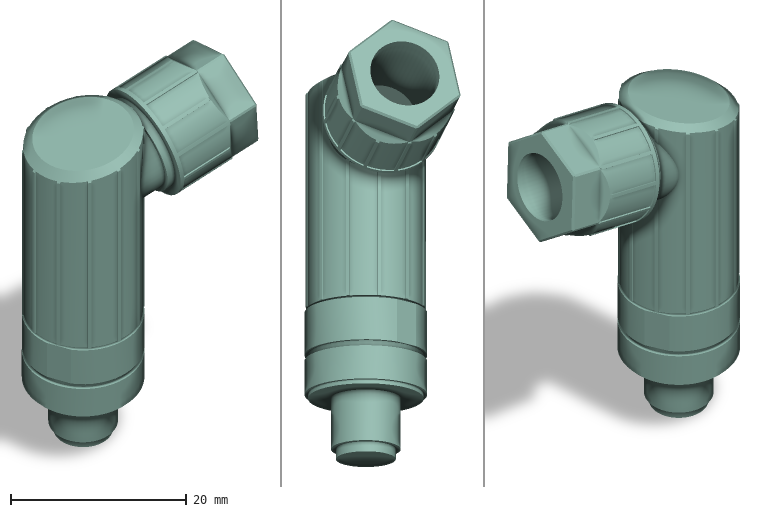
import cadquery as cq
import math

outer_radius = 7.01
flute_radius = 6.85
rib_width = 0.4
rib_count = 12
tilt = 10.0

tip_radius = 3.42
tip_top = 1.15
stem_radius = 4.0
stem_top = 7.18
groove_radius = 6.6
lower_ring_bottom = 7.65
lower_ring_top = 11.6
upper_ring_bottom = 12.3
upper_ring_top = 17.3
gap_radius = 6.43
flat_distance = 6.85
flat_angle = 30.0

grip_bottom = 17.6
cap_height = 43.6
cap_radius = 5.85
cap_chamfer_angle = 35.0

outlet_height = 36.68
neck_radius = 5.35
flange_start = 7.65
flange_radius = 5.9
nut_start = 8.68
collar_length = 0.5
nut_end = 20.65
hex_length = 3.9
hex_across_flats = 12.0
hex_twist = 10.0
hex_chamfer = 0.25
hex_flare_angle = 45.0
bore_radius = 4.05

hex_start = nut_end - hex_length
tilt_sin = math.sin(math.radians(tilt))
tilt_cos = math.cos(math.radians(tilt))


def cylinder(radius, bottom, top):
    return cq.Workplane("XY").workplane(offset=bottom).circle(radius).extrude(top - bottom)


def turn(body, angle):
    return body.rotate((0, 0, 0), (0, 0, 1), angle)


def place(body, plane):
    """Move a body from the XY plane onto another plane."""
    return cq.Workplane("XY").add(body.val().moved(cq.Location(plane)))


def ribbed_cylinder(bottom, top):
    """Cylinder with evenly spaced narrow ribs, the first one on +X."""
    height = top - bottom
    bar = cq.Workplane("XY").workplane(offset=bottom).rect(3 * outer_radius, rib_width).extrude(height)
    body = cylinder(flute_radius, bottom, top)
    for index in range(rib_count // 2):
        body = body.union(turn(bar, index * 360 / rib_count))
    return body.intersect(cylinder(outer_radius, bottom, top))


def hexagon(height, taper=0):
    """Hexagonal bar on the XY plane; a negative taper widens it upwards."""
    corner_diameter = hex_across_flats / math.cos(math.radians(30))
    return cq.Workplane("XY").polygon(6, corner_diameter).extrude(height, taper=taper)


def upper_ring():
    """Ring with two flats on opposite sides."""
    height = upper_ring_top - upper_ring_bottom
    slab = cq.Workplane("XY").workplane(offset=upper_ring_bottom)
    slab = slab.rect(3 * outer_radius, 2 * flat_distance).extrude(height)
    return cylinder(outer_radius, upper_ring_bottom, upper_ring_top).intersect(turn(slab, flat_angle))


def plug_end():
    return (
        cylinder(tip_radius, 0, tip_top)
        .union(cylinder(stem_radius, tip_top, stem_top))
        .union(cylinder(groove_radius, stem_top, upper_ring_bottom))
        .union(cylinder(outer_radius, lower_ring_bottom, lower_ring_top))
        .union(upper_ring())
        .union(cylinder(gap_radius, upper_ring_top, grip_bottom))
    )


def grip():
    """Ribbed handle, trimmed by a tilted cone that gives the sloping cap and its chamfer."""
    cone_depth = cap_height
    base_radius = cap_radius + cone_depth / math.tan(math.radians(cap_chamfer_angle))
    profile = [(0, 0), (cap_radius, 0), (base_radius, -cone_depth), (0, -cone_depth)]
    cone = cq.Workplane("XZ").polyline(profile).close().revolve(360, (0, 0), (0, 1))
    cap_plane = cq.Plane(origin=(0, 0, cap_height), xDir=(1, 0, 0), normal=(0, -tilt_sin, tilt_cos))
    return ribbed_cylinder(grip_bottom, cap_height + outer_radius).intersect(place(cone, cap_plane))


def nut():
    """Ribbed nut with a collar at the neck end and a bored hexagon at the outer end."""
    flare = hexagon(hex_start - nut_start, taper=-hex_flare_angle)
    flare = flare.mirror("XY").translate((0, 0, hex_start))
    ribbed_part = ribbed_cylinder(nut_start, hex_start).intersect(flare)
    collar = cylinder(outer_radius, nut_start, nut_start + collar_length)
    head = hexagon(hex_length).faces(">Z").chamfer(hex_chamfer).translate((0, 0, hex_start))
    head = head.intersect(cylinder(flute_radius, hex_start, nut_end))
    bore = cylinder(bore_radius, nut_start, nut_end)
    return turn(ribbed_part.union(collar).union(head).cut(bore), 90 + hex_twist)


def outlet():
    """Neck, flange and nut on the axis that climbs towards +Y."""
    neck = cylinder(neck_radius, 0, flange_start)
    flange = cylinder(flange_radius, flange_start, nut_start)
    axis_plane = cq.Plane(origin=(0, 0, outlet_height), xDir=(-1, 0, 0), normal=(0, tilt_cos, tilt_sin))
    return place(neck.union(flange).union(nut()), axis_plane)


result = plug_end().union(grip()).union(outlet())